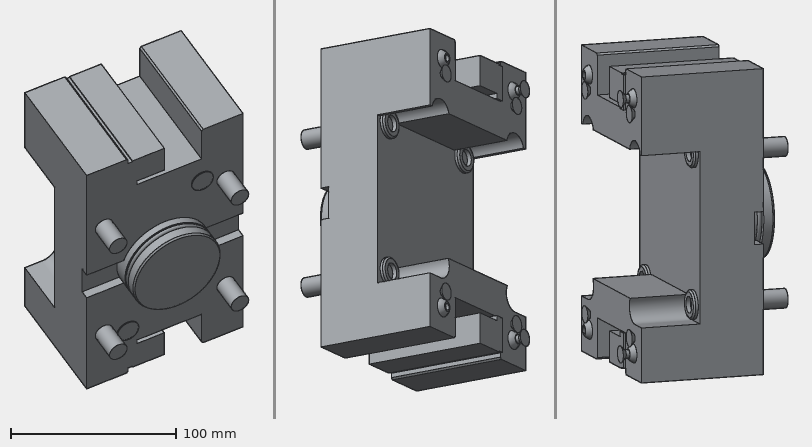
import cadquery as cq

BODY_DEPTH = 78.5
BODY_WIDTH = 108.0
BODY_HEIGHT = 189.0
HALF_HEIGHT = BODY_HEIGHT / 2

RECESS_DEPTH = 37.6
RECESS_HALF_HEIGHT = 46.0

BOLT_Y = 42.0
BOLT_CENTRE_Z = -3.8
BOLT_HALF_SPACING = 46.9
BOLT_CLEARANCE_RADIUS = 9.8

HEAD_RADIUS = 9.0
HEAD_HEIGHT = 2.8
HEAD_CHAMFER = 1.1
HEAD_BORE_RADIUS = 5.1

PIN_RADIUS = 6.0
PIN_LENGTH = 18.1

PRONG_SLOT_HALF_WIDTH = 25.3
PRONG_SLOT_FLOOR = 68.8
PRONG_CHAMFER = 1.1

JAW_FRONT = -1.42
JAW_TOP = 91.3
JAW_BOTTOM = 72.0
JAW_INNER_Y = -0.4
JAW_FOOT_Y = -19.0
JAW_STEP_Y = -22.3
JAW_STEP_DROP = 0.66

KEY_SLOT_DEPTH = 5.7
KEY_SLOT_HEIGHT = 20.0
DISC_RADIUS = 30.0
DISC_LENGTH = 16.0
DISC_CHAMFER_LENGTH = 1.3
DISC_CHAMFER_DROP = 0.8
GROOVE_START = 4.7
GROOVE_END = 8.9
GROOVE_DEPTH = 3.0
SEAL_OFFSET = 6.5
SEAL_RADIUS = 1.8

PAD_Y = 25.7
PAD_HALF_SPACING = 53.3
PAD_RADIUS = 7.4
PAD_HEIGHT = 0.8

SCREW_Y = 39.7
DOME_Z = 78.8
DOME_RADIUS = 5.9
DOME_MIDDLE_RADIUS = 5.0
DOME_TIP_RADIUS = 3.0
DOME_HEIGHT = 3.4
SOCKET_RADIUS = 2.0
SOCKET_DEPTH = 2.3
FLARE_RADIUS = 5.3
FLARE_LENGTH = 2.8
NECK_RADIUS = 2.6
NECK_LENGTH = 2.3
PLUG_Z = 69.2

OVERLAP = 1.0


def box(x_range, y_range, z_range):
    """Box between the given limits."""
    size = [high - low for low, high in (x_range, y_range, z_range)]
    corner = (x_range[0], y_range[0], z_range[0])
    return cq.Workplane("XY").box(*size, centered=False).translate(corner)


def x_cylinder(radius, x_start, x_end, y, z):
    """Cylinder along X."""
    return cq.Workplane("YZ", origin=(x_start, y, z)).circle(radius).extrude(x_end - x_start)


def x_cone(start_radius, end_radius, x_start, x_end, y, z):
    """Cone frustum along X."""
    profile = [(x_start, 0), (x_start, start_radius), (x_end, end_radius), (x_end, 0)]
    solid = cq.Workplane("XY").polyline(profile).close().revolve(360, (0, 0, 0), (1, 0, 0))
    return solid.translate((0, y, z))


def make_body():
    half_width = BODY_WIDTH / 2
    width = (-half_width, half_width)
    body = box((0, BODY_DEPTH), width, (-HALF_HEIGHT, HALF_HEIGHT))
    body = body.cut(box((0, RECESS_DEPTH), width, (-RECESS_HALF_HEIGHT, RECESS_HALF_HEIGHT)))

    lower_bolt_z = BOLT_CENTRE_Z - BOLT_HALF_SPACING
    step_z = lower_bolt_z - BOLT_CLEARANCE_RADIUS
    for side in (-1, 1):
        bolt_y = side * BOLT_Y
        for bolt_z in (lower_bolt_z, BOLT_CENTRE_Z + BOLT_HALF_SPACING):
            body = body.cut(x_cylinder(BOLT_CLEARANCE_RADIUS, 0, RECESS_DEPTH, bolt_y, bolt_z))
        outer = tuple(sorted((bolt_y, side * half_width)))
        body = body.cut(box((0, RECESS_DEPTH), outer, (step_z, -RECESS_HALF_HEIGHT)))

    key_half_height = KEY_SLOT_HEIGHT / 2
    key_z = (BOLT_CENTRE_Z - key_half_height, BOLT_CENTRE_Z + key_half_height)
    body = body.cut(box((BODY_DEPTH - KEY_SLOT_DEPTH, BODY_DEPTH), width, key_z))

    mouth = PRONG_SLOT_HALF_WIDTH + PRONG_CHAMFER
    chamfer_start = HALF_HEIGHT - PRONG_CHAMFER
    slot = (
        cq.Workplane("YZ")
        .moveTo(-PRONG_SLOT_HALF_WIDTH, PRONG_SLOT_FLOOR)
        .lineTo(PRONG_SLOT_HALF_WIDTH, PRONG_SLOT_FLOOR)
        .lineTo(PRONG_SLOT_HALF_WIDTH, chamfer_start)
        .lineTo(mouth, HALF_HEIGHT)
        .lineTo(-mouth, HALF_HEIGHT)
        .lineTo(-PRONG_SLOT_HALF_WIDTH, chamfer_start)
        .close()
        .extrude(BODY_DEPTH)
    )
    return body.cut(slot).cut(slot.mirror("XY"))


def make_jaw():
    """Jaw block of the upper arm: an overhanging block on a narrow foot."""
    wall_y = -PRONG_SLOT_HALF_WIDTH
    outline = [
        (JAW_INNER_Y, JAW_BOTTOM),
        (JAW_INNER_Y, JAW_TOP),
        (JAW_STEP_Y, JAW_TOP),
        (JAW_STEP_Y, JAW_TOP - JAW_STEP_DROP),
        (wall_y, JAW_TOP - JAW_STEP_DROP),
        (wall_y, PRONG_SLOT_FLOOR),
        (JAW_FOOT_Y, PRONG_SLOT_FLOOR),
        (JAW_FOOT_Y, JAW_BOTTOM),
    ]
    plane = cq.Workplane("YZ", origin=(JAW_FRONT, 0, 0))
    return plane.polyline(outline).close().extrude(BODY_DEPTH - JAW_FRONT)


def make_disc():
    """Rear disc with a chamfered end and an O-ring lying in a square groove."""
    groove_floor = DISC_RADIUS - GROOVE_DEPTH
    profile = (
        cq.Workplane("XY")
        .moveTo(-KEY_SLOT_DEPTH - OVERLAP, 0)
        .lineTo(-KEY_SLOT_DEPTH - OVERLAP, DISC_RADIUS)
        .lineTo(GROOVE_START, DISC_RADIUS)
        .lineTo(GROOVE_START, groove_floor)
        .lineTo(GROOVE_END, groove_floor)
        .lineTo(GROOVE_END, DISC_RADIUS)
        .lineTo(DISC_LENGTH - DISC_CHAMFER_LENGTH, DISC_RADIUS)
        .lineTo(DISC_LENGTH, DISC_RADIUS - DISC_CHAMFER_DROP)
        .lineTo(DISC_LENGTH, 0)
        .close()
    )
    disc = profile.revolve(360, (0, 0, 0), (1, 0, 0))

    section = cq.Workplane("XY").center(SEAL_OFFSET, DISC_RADIUS - SEAL_RADIUS).circle(SEAL_RADIUS)
    seal = section.revolve(360, (0, SEAL_RADIUS - DISC_RADIUS, 0), (1, SEAL_RADIUS - DISC_RADIUS, 0))
    disc = disc.union(seal)
    return disc.translate((BODY_DEPTH, 0, BOLT_CENTRE_Z))


def make_bolt_head(y, z):
    front = RECESS_DEPTH - HEAD_HEIGHT
    head = x_cylinder(HEAD_RADIUS, front, RECESS_DEPTH + OVERLAP, y, z)
    head = head.faces("<X").chamfer(HEAD_CHAMFER)
    return head.cut(x_cylinder(HEAD_BORE_RADIUS, front, RECESS_DEPTH, y, z))


def make_dome(y, z):
    """Rounded screw head."""
    profile = (
        cq.Workplane("XY")
        .moveTo(OVERLAP, 0)
        .lineTo(OVERLAP, DOME_RADIUS)
        .lineTo(0, DOME_RADIUS)
        .threePointArc((-DOME_HEIGHT / 2, DOME_MIDDLE_RADIUS), (-DOME_HEIGHT, DOME_TIP_RADIUS))
        .lineTo(-DOME_HEIGHT, 0)
        .close()
    )
    return profile.revolve(360, (0, 0, 0), (1, 0, 0)).translate((0, y, z))


result = make_body()

jaw = make_jaw()
result = result.union(jaw).union(jaw.mirror("XY"))
result = result.union(make_disc())

for side in (-1, 1):
    for level in (-1, 1):
        bolt_y = side * BOLT_Y
        bolt_z = BOLT_CENTRE_Z + level * BOLT_HALF_SPACING
        pin_end = BODY_DEPTH + PIN_LENGTH
        result = result.union(make_bolt_head(bolt_y, bolt_z))
        result = result.union(x_cylinder(PIN_RADIUS, BODY_DEPTH - OVERLAP, pin_end, bolt_y, bolt_z))

        screw_y = side * SCREW_Y
        dome_z = level * DOME_Z
        result = result.union(make_dome(screw_y, dome_z))
        if side < 0:
            neck_end = -DOME_HEIGHT - NECK_LENGTH
            neck = x_cylinder(NECK_RADIUS, neck_end, OVERLAP, screw_y, dome_z)
            cap = x_cone(FLARE_RADIUS, NECK_RADIUS, neck_end - FLARE_LENGTH, neck_end, screw_y, dome_z)
            result = result.union(neck).union(cap)
        else:
            socket_end = SOCKET_DEPTH - DOME_HEIGHT
            result = result.cut(x_cylinder(SOCKET_RADIUS, -DOME_HEIGHT, socket_end, screw_y, dome_z))
        plug_z = level * PLUG_Z
        result = result.union(x_cone(FLARE_RADIUS, NECK_RADIUS, -FLARE_LENGTH, 0, screw_y, plug_z))

for side in (-1, 1):
    pad_z = BOLT_CENTRE_Z + side * PAD_HALF_SPACING
    pad_start = BODY_DEPTH - OVERLAP
    result = result.union(x_cylinder(PAD_RADIUS, pad_start, BODY_DEPTH + PAD_HEIGHT, side * PAD_Y, pad_z))